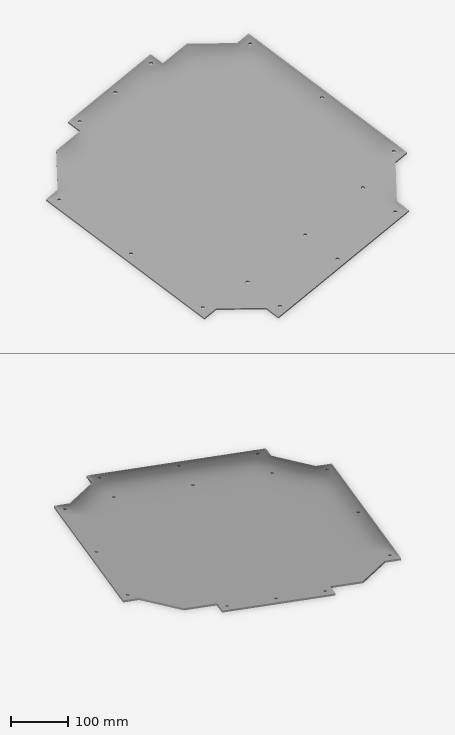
import cadquery as cq

length = 565.0
width = 510.0
thickness = 4.0
hole_diameter = 7.0

flange = 29.5
left_x = -length / 2
right_x = length / 2
body_left_x = left_x + flange
body_right_x = right_x - flange
half_width = width / 2
body_half_width = half_width - flange

long_flange_start_x = -191.0
long_flange_end_x = 191.0
left_flange_half = 104.0
right_flange_half = 164.5

edge_margin = 14.5
long_side_hole_pitch = 173.0
left_hole_pitch = 90.0
right_hole_pitch = 145.0
inner_row_x = 190.0

upper_outline = [
    (left_x, left_flange_half),
    (body_left_x, left_flange_half),
    (body_left_x, right_flange_half),
    (long_flange_start_x, body_half_width),
    (long_flange_start_x, half_width),
    (long_flange_end_x, half_width),
    (long_flange_end_x, body_half_width),
    (body_right_x, right_flange_half),
    (right_x, right_flange_half),
]
lower_outline = [(x, -y) for x, y in reversed(upper_outline)]
plate = cq.Workplane("XY").polyline(upper_outline + lower_outline).close().extrude(thickness)


def hole_column(x, pitch):
    """Three hole centres in a line across the plate, centred on the X axis."""
    return [(x, step * pitch) for step in (-1, 0, 1)]


def hole_row(y, pitch, centre_x):
    """Three hole centres in a line along the plate."""
    return [(centre_x + step * pitch, y) for step in (-1, 0, 1)]


long_flange_centre_x = (long_flange_start_x + long_flange_end_x) / 2
hole_centres = (
    hole_column(left_x + edge_margin, left_hole_pitch)
    + hole_column(inner_row_x, right_hole_pitch)
    + hole_column(right_x - edge_margin, right_hole_pitch)
    + hole_row(half_width - edge_margin, long_side_hole_pitch, long_flange_centre_x)
    + hole_row(edge_margin - half_width, long_side_hole_pitch, long_flange_centre_x)
)
holes = cq.Workplane("XY").pushPoints(hole_centres).circle(hole_diameter / 2).extrude(thickness)

result = plate.cut(holes)